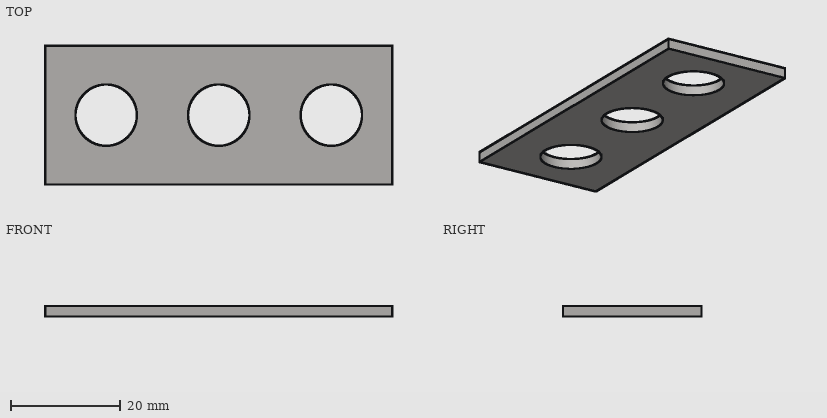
import cadquery as cq

length = 63.5
width = 25.4
thickness = 2.0

hole_count = 3
hole_diameter = 11.2
hole_spacing = 20.6

plate = cq.Workplane("XY").box(length, width, thickness)

result = (
    plate.faces(">Z")
    .workplane()
    .rarray(hole_spacing, width, hole_count, 1)
    .hole(hole_diameter)
)